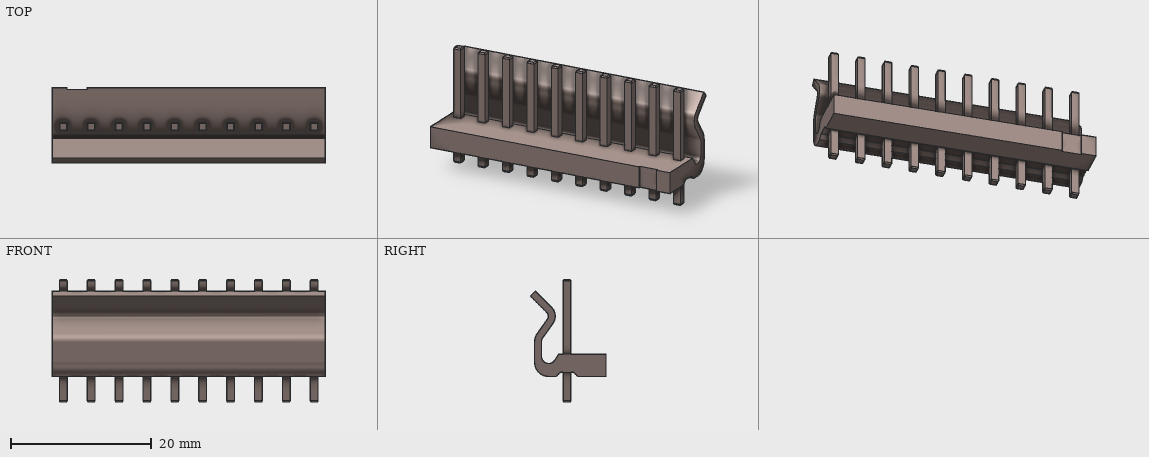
import cadquery as cq
import math


length = 38.85
base_height = 3.2
back_y = 5.55
front_y = -4.62
relief_depth = 0.6
relief_top_half = 0.95
relief_bottom_half = 1.55
shoulder_y = -1.2
heel_radius = 2.02

strip_thickness = 1.0
trough_z = 2.87
trough_start = math.radians(-35)
knee_z = 4.95
knee_radius = 2.02
lean = math.radians(35.4)
lean_length = 2.5
waist_radius = 0.78
lip_normal = math.radians(45)
lip_length = 3.25

notch_start = 2.15
notch_length = 2.85
notch_depth = 0.27

pin_count = 10
pin_pitch = 3.95
pin_width = 1.13
pin_bottom = -3.65
pin_height = 17.45
tip_inset = 0.1
tip_height = 0.25


def polar(center, radius, angle):
    """Point at the given radius and angle around a center in the YZ plane."""
    return (
        center[0] + radius * math.cos(angle),
        center[1] + radius * math.sin(angle),
    )


def make_housing():
    """Constant section of base and lock strip, extruded along X."""
    trough_radius = strip_thickness
    trough = (front_y + strip_thickness + trough_radius, trough_z)
    heel = (front_y + heel_radius, heel_radius)
    knee = (front_y + knee_radius, knee_z)

    lean_normal = math.pi - lean
    lean_start = polar(knee, knee_radius + waist_radius, lean_normal)
    waist = polar(lean_start, lean_length, math.pi / 2 - lean)
    waist_start = -lean
    waist_middle = (waist_start + lip_normal) / 2
    knee_middle = math.pi - lean / 2

    knee_inner = knee_radius - strip_thickness
    waist_outer = waist_radius + strip_thickness
    lip_direction = lip_normal + math.pi / 2
    lip_front = polar(polar(waist, waist_radius, lip_normal), lip_length, lip_direction)
    lip_back = polar(polar(waist, waist_outer, lip_normal), lip_length, lip_direction)

    section = (
        cq.Workplane("YZ")
        .moveTo(back_y, base_height)
        .lineTo(back_y, 0)
        .lineTo(relief_bottom_half, 0)
        .lineTo(relief_top_half, relief_depth)
        .lineTo(-relief_top_half, relief_depth)
        .lineTo(-relief_bottom_half, 0)
        .lineTo(heel[0], 0)
        .threePointArc(polar(heel, heel_radius, math.radians(225)), (front_y, heel[1]))
        .lineTo(front_y, knee_z)
        .threePointArc(
            polar(knee, knee_radius, knee_middle),
            polar(knee, knee_radius, lean_normal),
        )
        .lineTo(*polar(waist, waist_radius, waist_start))
        .threePointArc(
            polar(waist, waist_radius, waist_middle),
            polar(waist, waist_radius, lip_normal),
        )
        .lineTo(*lip_front)
        .lineTo(*lip_back)
        .lineTo(*polar(waist, waist_outer, lip_normal))
        .threePointArc(
            polar(waist, waist_outer, waist_middle),
            polar(waist, waist_outer, waist_start),
        )
        .lineTo(*polar(knee, knee_inner, lean_normal))
        .threePointArc(
            polar(knee, knee_inner, knee_middle),
            polar(knee, knee_inner, math.pi),
        )
        .lineTo(*polar(trough, trough_radius, math.pi))
        .threePointArc(
            polar(trough, trough_radius, -math.pi / 2),
            polar(trough, trough_radius, trough_start),
        )
        .lineTo(shoulder_y, base_height)
        .close()
    )
    return section.extrude(length / 2, both=True)


def make_notch():
    """Shallow cut through the full height of the back face."""
    return cq.Workplane("XY").box(
        notch_length, notch_depth, base_height, centered=False
    ).translate((notch_start - length / 2, back_y - notch_depth, 0))


def make_tip(tip_z, direction):
    """Tapered pin end; direction is 1 for the top end and -1 for the bottom end."""
    base_z = tip_z - direction * tip_height
    tip_width = pin_width - 2 * tip_inset
    return (
        cq.Workplane("XY", origin=(0, 0, base_z))
        .rect(pin_width, pin_width)
        .workplane(offset=direction * tip_height)
        .rect(tip_width, tip_width)
        .loft(ruled=True)
    )


def make_pin():
    """Square pin with chamfered ends, centered on X = 0 and Y = 0."""
    shank = (
        cq.Workplane("XY", origin=(0, 0, pin_bottom + tip_height))
        .rect(pin_width, pin_width)
        .extrude(pin_height - 2 * tip_height)
    )
    top_tip = make_tip(pin_bottom + pin_height, 1)
    bottom_tip = make_tip(pin_bottom, -1)
    return shank.union(top_tip).union(bottom_tip)


result = make_housing().cut(make_notch())
pin = make_pin()
first_pin_x = -pin_pitch * (pin_count - 1) / 2
for index in range(pin_count):
    result = result.union(pin.translate((first_pin_x + index * pin_pitch, 0, 0)))